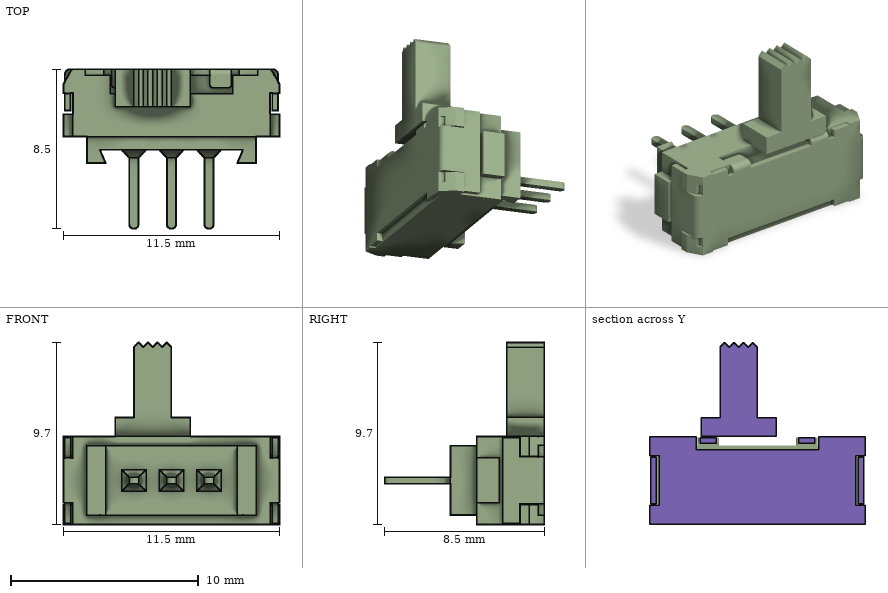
import cadquery as cq


total_length = 11.5
core_length = 10.5
housing_depth = 3.6
housing_height = 4.7
block_depth = 1.2
block_height = 2.4
ear_front = 2.32
ear_chamfer_x = 0.45
ear_chamfer_y = 0.8
arm_channel_height = 2.6
window_length = 6.5
window_front = 2.28
window_floor_drop = 0.7

sheet = 0.32
bend_radius = 0.31
plate_length = 10.6
plate_height = 3.72
lug_span = 9.2
lug_length = 1.0
frame_span = 11.36
frame_height = 4.56
arm_height = 2.5
arm_front = 1.385
arm_step = 2.29
tab_outer_x = 3.19
tab_length = 1.15
tab_reach = 1.0
tab_corner_radius = 0.18

pedestal_length = 9.0
pedestal_height = 3.7
pedestal_depth = 1.4
groove_depth = 0.7
groove_floor_length = 7.6
groove_mouth_length = 7.0
pin_pitch = 2.0
pin_count = 3
pin_width = 0.5
pin_thickness = 0.36
pin_tip_y = -4.9
collar_width = 1.3
collar_height = 1.15
collar_depth = 0.42

slider_x = -1.0
slider_depth = 2.0
slider_base_length = 4.0
slider_base_height = 1.0
knob_length = 2.0
knob_height = 5.0
tooth_count = 4
tooth_height = 0.25

housing_top = housing_height / 2
recess_front = housing_depth - sheet
frame_top = frame_height / 2
arm_outer_x = frame_span / 2


def box(x_min, x_max, y_min, y_max, z_min, z_max):
    """Box between two opposite corners."""
    size = (x_max - x_min, y_max - y_min, z_max - z_min)
    return cq.Workplane("XY").box(*size, centered=False).translate((x_min, y_min, z_min))


def bar(length, y_min, y_max, height):
    """Box centred in X and Z."""
    return box(-length / 2, length / 2, y_min, y_max, -height / 2, height / 2)


def both_ends(shape):
    """The shape together with its mirror image in X."""
    return shape.union(shape.mirror("YZ"))


def make_housing():
    half_length = total_length / 2
    ears = (
        cq.Workplane("XY", origin=(0, 0, -housing_top))
        .moveTo(-half_length, ear_front)
        .lineTo(half_length, ear_front)
        .lineTo(half_length, housing_depth - ear_chamfer_y)
        .lineTo(half_length - ear_chamfer_x, housing_depth)
        .lineTo(-half_length + ear_chamfer_x, housing_depth)
        .lineTo(-half_length, housing_depth - ear_chamfer_y)
        .close()
        .extrude(housing_height)
        .cut(bar(total_length, ear_front, housing_depth, arm_channel_height))
    )
    core = bar(core_length, 0, housing_depth, housing_height)
    end_blocks = bar(total_length, 0, block_depth, block_height)
    housing = core.union(ears).union(end_blocks)

    housing = housing.cut(bar(total_length, recess_front, housing_depth, plate_height))
    housing = housing.cut(bar(lug_span, recess_front, housing_depth, housing_height))

    half_window = window_length / 2
    window_floor = housing_top - window_floor_drop
    return housing.cut(
        box(-half_window, half_window, window_front, recess_front, window_floor, housing_top)
    )


def make_arm():
    """Frame arm at the +X end: T-shaped in side view, bent round the back corner."""
    inner_x = arm_outer_x - sheet
    wide = box(inner_x, arm_outer_x, arm_front, arm_step, -frame_top, frame_top)
    narrow = (
        box(plate_length / 2, arm_outer_x, recess_front, housing_depth, -arm_height / 2, arm_height / 2)
        .edges(">X and >Y")
        .fillet(bend_radius)
        .union(box(inner_x, arm_outer_x, arm_step, recess_front, -arm_height / 2, arm_height / 2))
    )
    return wide.union(narrow)


def make_tab():
    """Tab on the +X side, bent forward from the top of the back plate into the window."""
    inner_x = tab_outer_x - tab_length
    riser = box(inner_x, tab_outer_x, recess_front, housing_depth, plate_height / 2, frame_top)
    tongue = box(
        inner_x, tab_outer_x, housing_depth - tab_reach, housing_depth, frame_top - sheet, frame_top
    )
    tongue = tongue.edges("|Z and <Y").fillet(tab_corner_radius)
    return riser.union(tongue).edges(">Y and >Z").fillet(bend_radius)


def make_frame():
    plate = bar(plate_length, recess_front, housing_depth, plate_height)
    lug_outer_x = lug_span / 2
    lug = box(lug_outer_x - lug_length, lug_outer_x, recess_front, housing_depth, -frame_top, frame_top)
    return plate.union(both_ends(lug)).union(both_ends(make_arm())).union(both_ends(make_tab()))


def make_pedestal():
    """Raised front block with a dovetail groove running along Z."""
    groove = (
        cq.Workplane("XY", origin=(0, 0, -pedestal_height / 2))
        .moveTo(-groove_floor_length / 2, groove_depth - pedestal_depth)
        .lineTo(groove_floor_length / 2, groove_depth - pedestal_depth)
        .lineTo(groove_mouth_length / 2, -pedestal_depth)
        .lineTo(-groove_mouth_length / 2, -pedestal_depth)
        .close()
        .extrude(pedestal_height)
    )
    return bar(pedestal_length, -pedestal_depth, 0, pedestal_height).cut(groove)


def make_pin():
    """Round-ended flat pin with a tapered collar at the groove floor."""
    floor_y = groove_depth - pedestal_depth
    collar = (
        cq.Workplane("XZ", origin=(0, floor_y, 0))
        .rect(collar_width, collar_height)
        .workplane(offset=collar_depth)
        .rect(pin_width, pin_thickness)
        .loft(ruled=True)
    )
    radius = pin_width / 2
    blade = (
        cq.Workplane("XY", origin=(0, 0, -pin_thickness / 2))
        .moveTo(-radius, floor_y)
        .lineTo(-radius, pin_tip_y + radius)
        .threePointArc((0, pin_tip_y), (radius, pin_tip_y + radius))
        .lineTo(radius, floor_y)
        .close()
        .extrude(pin_thickness)
    )
    return collar.union(blade)


def make_slider():
    """Slider base and knob as one profile, with a serrated top."""
    base_top = housing_top + slider_base_height
    crest_z = housing_top + knob_height
    root_z = crest_z - tooth_height
    knob_left = slider_x - knob_length / 2
    knob_right = slider_x + knob_length / 2
    base_left = slider_x - slider_base_length / 2
    base_right = slider_x + slider_base_length / 2
    pitch = knob_length / tooth_count

    profile = (
        cq.Workplane("XZ", origin=(0, housing_depth, 0))
        .moveTo(base_right, housing_top)
        .lineTo(base_right, base_top)
        .lineTo(knob_right, base_top)
        .lineTo(knob_right, root_z)
    )
    for tooth in range(tooth_count):
        tooth_right = knob_right - tooth * pitch
        profile = profile.lineTo(tooth_right - pitch / 2, crest_z).lineTo(tooth_right - pitch, root_z)
    profile = profile.lineTo(knob_left, base_top).lineTo(base_left, base_top)
    return profile.lineTo(base_left, housing_top).close().extrude(slider_depth)


result = make_housing().union(make_frame()).union(make_pedestal()).union(make_slider())
for index in range(pin_count):
    pin_x = (index - (pin_count - 1) / 2) * pin_pitch
    result = result.union(make_pin().translate((pin_x, 0, 0)))